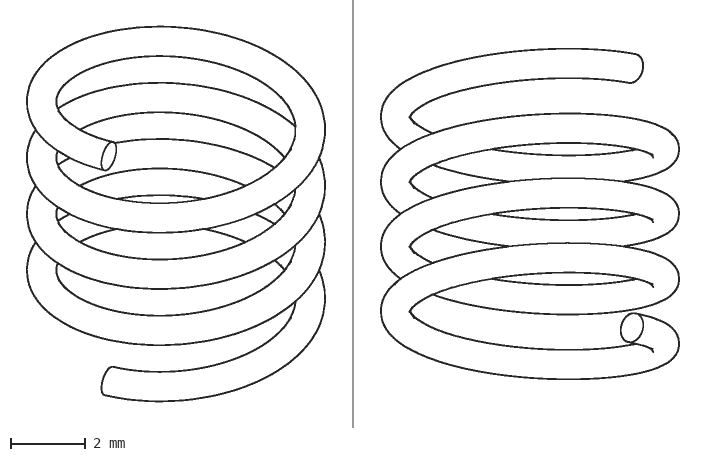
import cadquery as cq

outer_diameter = 8.0
overall_height = 8.0
wire_diameter = 0.8
turns = 4

wire_radius = wire_diameter / 2
coil_radius = outer_diameter / 2 - wire_radius
coil_height = overall_height - wire_diameter
pitch = coil_height / turns

end_angle = -90


def make_spring():
    """Sweep the round wire along a right-handed helix about Z, starting on +X."""
    centreline = cq.Wire.makeHelix(pitch, coil_height, coil_radius)
    wire_section = cq.Workplane("XZ").center(coil_radius, 0).circle(wire_radius)
    return wire_section.sweep(cq.Workplane(centreline), isFrenet=True)


result = make_spring().rotate((0, 0, 0), (0, 0, 1), end_angle)